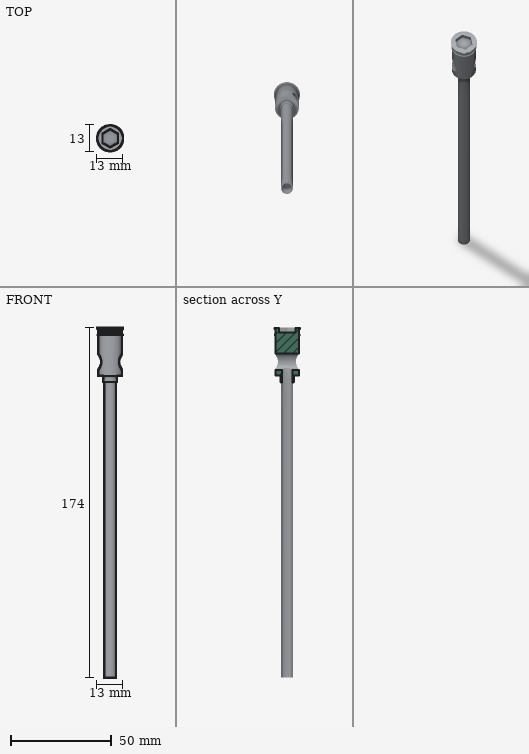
import cadquery as cq
import math

total_length = 174.0
rod_diameter = 6.0
collar_diameter = 7.0
collar_length = 3.0
head_diameter = 12.0
head_length = 24.0

groove_diameter = 11.8
upper_lip_diameter = 13.0
upper_lip_thickness = 0.4
lower_lip_diameter = 12.6
lower_lip_height = 0.55
band_height = 3.7
rib_top_depth = 1.6
rib_bottom_depth = 2.5

socket_across_flats = 7.8
socket_depth = 2.2

cross_hole_diameter = 8.0
cross_hole_depth = 17.0

bore_diameter = 5.0

head_bottom = total_length - head_length
collar_bottom = head_bottom - collar_length
cross_hole_height = total_length - cross_hole_depth


def make_body():
    """Stack the rod, the collar and the plain part of the head."""
    rod = cq.Workplane("XY").circle(rod_diameter / 2).extrude(collar_bottom)
    collar = rod.faces(">Z").workplane().circle(collar_diameter / 2).extrude(collar_length)
    return collar.faces(">Z").workplane().circle(head_diameter / 2).extrude(head_length - band_height)


def make_band():
    """Revolve the band that ends the head: a lip at each end and a rib between two grooves."""
    groove_radius = groove_diameter / 2
    rib_radius = head_diameter / 2
    upper_lip_radius = upper_lip_diameter / 2
    lower_lip_radius = lower_lip_diameter / 2

    top = total_length
    band_bottom = top - band_height
    lower_groove_bottom = band_bottom + lower_lip_height
    rib_bottom = top - rib_bottom_depth
    rib_top = top - rib_top_depth
    upper_lip_bottom = top - upper_lip_thickness
    upper_groove_top = upper_lip_bottom - (upper_lip_radius - groove_radius)

    return (
        cq.Workplane("XZ")
        .moveTo(0, band_bottom)
        .lineTo(lower_lip_radius, band_bottom)
        .lineTo(groove_radius, lower_groove_bottom)
        .lineTo(groove_radius, rib_bottom)
        .lineTo(rib_radius, rib_bottom)
        .lineTo(rib_radius, rib_top)
        .lineTo(groove_radius, rib_top)
        .lineTo(groove_radius, upper_groove_top)
        .lineTo(upper_lip_radius, upper_lip_bottom)
        .lineTo(upper_lip_radius, top)
        .lineTo(0, top)
        .close()
        .revolve(360, (0, 0, 0), (0, 1, 0))
    )


def make_socket():
    """Hexagonal prism that cuts the socket."""
    hexagon_half_angle = 30.0
    across_corners = socket_across_flats / math.cos(math.radians(hexagon_half_angle))
    return (
        cq.Workplane("XY", origin=(0, 0, total_length - socket_depth))
        .polygon(6, across_corners)
        .extrude(socket_depth)
        .rotate((0, 0, 0), (0, 0, 1), hexagon_half_angle)
    )


def make_cross_hole():
    """Cylinder along X that cuts right through the head."""
    return (
        cq.Workplane("YZ", origin=(0, 0, cross_hole_height))
        .circle(cross_hole_diameter / 2)
        .extrude(head_diameter, both=True)
    )


def make_bore():
    """Axial cylinder that hollows the rod and opens into the cross hole."""
    return cq.Workplane("XY").circle(bore_diameter / 2).extrude(cross_hole_height)


body = make_body().union(make_band())
result = body.cut(make_socket()).cut(make_cross_hole()).cut(make_bore())